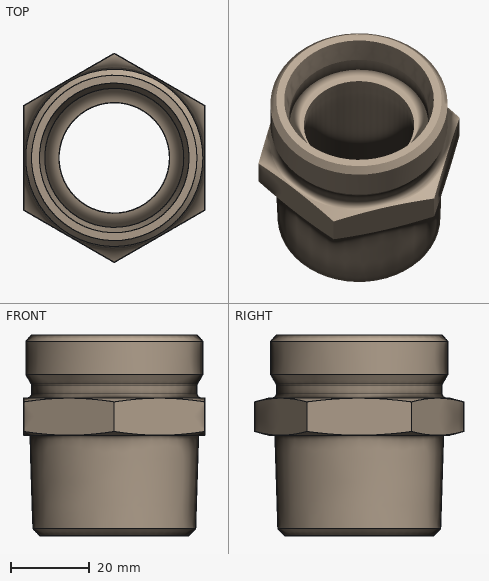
import cadquery as cq
import math

HEX_ACROSS_FLATS = 46.0
HEX_BOTTOM_Z = 25.5
HEX_HEIGHT = 9.5
HEX_FACE_DIAMETER = 45.7
HEX_CHAMFER_ANGLE = 15.0

TAPER_ON_RADIUS = 1 / 32
GAUGE_DIAMETER = 41.91
GAUGE_Z = 10.5
LOWER_CHAMFER = 1.8

TOTAL_HEIGHT = 51.0
UPPER_DIAMETER = 45.0
UPPER_CHAMFER_WIDTH = 1.5
UPPER_CHAMFER_HEIGHT = 1.6
UPPER_LENGTH = 10.0

NECK_DIAMETER = 42.0
NECK_RUNOUT_ANGLE = 30.0
NECK_FILLET = 1.0
COLLAR_FILLET = 1.2

BORE_DIAMETER = 28.0
SOCKET_DIAMETER = 35.3
SOCKET_DEPTH = 10.5
CONE_MOUTH_DIAMETER = 38.0
CONE_HALF_ANGLE = 12.0

HEX_TOP_Z = HEX_BOTTOM_Z + HEX_HEIGHT


def tan_degrees(angle):
    return math.tan(math.radians(angle))


def revolve_profile(profile):
    """Revolve a closed (radius, height) profile about the Z axis."""
    return profile.close().revolve(360, (0, 0, 0), (0, 1, 0))


def make_hexagon():
    """Hexagon with corners on the Y axis, its corners turned off conically at both ends."""
    corner_diameter = HEX_ACROSS_FLATS / math.cos(math.radians(30))
    corner_radius = corner_diameter / 2
    face_radius = HEX_FACE_DIAMETER / 2
    corner_drop = (corner_radius - face_radius) * tan_degrees(HEX_CHAMFER_ANGLE)
    prism = (
        cq.Workplane("XY", origin=(0, 0, HEX_BOTTOM_Z))
        .polygon(6, corner_diameter)
        .extrude(HEX_HEIGHT)
        .rotate((0, 0, 0), (0, 0, 1), 30)
    )
    envelope = revolve_profile(
        cq.Workplane("XZ")
        .moveTo(0, HEX_BOTTOM_Z)
        .lineTo(face_radius, HEX_BOTTOM_Z)
        .lineTo(corner_radius, HEX_BOTTOM_Z + corner_drop)
        .lineTo(corner_radius, HEX_TOP_Z - corner_drop)
        .lineTo(face_radius, HEX_TOP_Z)
        .lineTo(0, HEX_TOP_Z)
    )
    return prism.intersect(envelope)


def taper_radius(z):
    return GAUGE_DIAMETER / 2 + (z - GAUGE_Z) * TAPER_ON_RADIUS


def make_lower_end():
    """Tapered spigot below the hexagon, chamfered at its free end."""
    chamfer_radius = taper_radius(LOWER_CHAMFER)
    return revolve_profile(
        cq.Workplane("XZ")
        .moveTo(0, 0)
        .lineTo(chamfer_radius - LOWER_CHAMFER, 0)
        .lineTo(chamfer_radius, LOWER_CHAMFER)
        .lineTo(taper_radius(HEX_BOTTOM_Z), HEX_BOTTOM_Z)
        .lineTo(0, HEX_BOTTOM_Z)
    )


def make_upper_end():
    """Cylindrical end above the hexagon with its relieved neck."""
    upper_radius = UPPER_DIAMETER / 2
    neck_radius = NECK_DIAMETER / 2
    runout_top_z = TOTAL_HEIGHT - UPPER_LENGTH

    runout = math.radians(NECK_RUNOUT_ANGLE)
    fillet_end_radius = neck_radius + NECK_FILLET * (1 - math.cos(runout))
    fillet_end_z = runout_top_z - (upper_radius - fillet_end_radius) / math.tan(runout)
    fillet_start_z = fillet_end_z - NECK_FILLET * math.sin(runout)
    fillet_middle = (
        neck_radius + NECK_FILLET * (1 - math.cos(runout / 2)),
        fillet_start_z + NECK_FILLET * math.sin(runout / 2),
    )

    collar_arc_offset = COLLAR_FILLET * (1 - math.sqrt(0.5))
    collar_arc_middle = (neck_radius + collar_arc_offset, HEX_TOP_Z + collar_arc_offset)

    return revolve_profile(
        cq.Workplane("XZ")
        .moveTo(0, HEX_TOP_Z)
        .lineTo(neck_radius + COLLAR_FILLET, HEX_TOP_Z)
        .threePointArc(collar_arc_middle, (neck_radius, HEX_TOP_Z + COLLAR_FILLET))
        .lineTo(neck_radius, fillet_start_z)
        .threePointArc(fillet_middle, (fillet_end_radius, fillet_end_z))
        .lineTo(upper_radius, runout_top_z)
        .lineTo(upper_radius, TOTAL_HEIGHT - UPPER_CHAMFER_HEIGHT)
        .lineTo(upper_radius - UPPER_CHAMFER_WIDTH, TOTAL_HEIGHT)
        .lineTo(0, TOTAL_HEIGHT)
    )


def make_bore():
    """Through bore with a stepped socket and a conical mouth at the top."""
    bore_radius = BORE_DIAMETER / 2
    socket_radius = SOCKET_DIAMETER / 2
    mouth_radius = CONE_MOUTH_DIAMETER / 2
    socket_floor_z = TOTAL_HEIGHT - SOCKET_DEPTH
    cone_bottom_z = TOTAL_HEIGHT - (mouth_radius - socket_radius) / tan_degrees(CONE_HALF_ANGLE)
    return revolve_profile(
        cq.Workplane("XZ")
        .moveTo(0, 0)
        .lineTo(bore_radius, 0)
        .lineTo(bore_radius, socket_floor_z)
        .lineTo(socket_radius, socket_floor_z)
        .lineTo(socket_radius, cone_bottom_z)
        .lineTo(mouth_radius, TOTAL_HEIGHT)
        .lineTo(0, TOTAL_HEIGHT)
    )


body = make_hexagon().union(make_lower_end()).union(make_upper_end())
result = body.cut(make_bore())